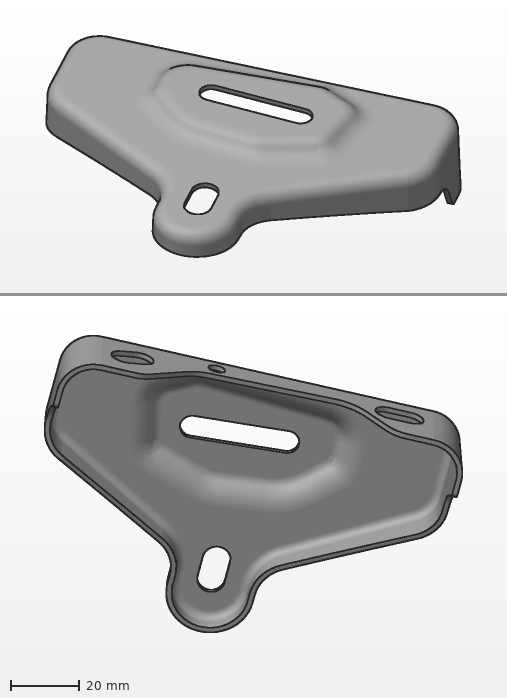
import cadquery as cq
import math


thickness = 1.6
draft = 2.0
edge_round = 4.0
plate_z = 25.0

feet_half_width = 60.8
half_width = feet_half_width - plate_z * math.tan(math.radians(draft))
back_corner_radius = 10.0
bend_radius = 12.0
tongue_radius = 12.5
tongue_end_y = -82.6
side_end_y = -32.8
diagonal_angle = 30.0

boss_height = 4.0
boss_draft = 43.0
boss_top_round = 5.1
boss_root_round = 7.4
boss_corners = [
    (-30.5, -8.3, 10.5),
    (-30.5, -26.9, 7.5),
    (-16.3, -40.0, 21.3),
    (8.6, -42.6, 13.7),
    (29.5, -35.5, 7.2),
    (34.4, -13.1, 8.3),
    (19.1, -5.4, 8.3),
]

boss_slot_centre = (2.7, -23.2)
boss_slot_span = 28.2
boss_slot_width = 7.0
boss_slot_angle = -3.9
tongue_slot_centre = (0, -65.3)
tongue_slot_span = 6.6
tongue_slot_width = 8.1
tongue_slot_angle = 90

leg_foot_y = -15.5
leg_slant = 67.0
foot_round = 2.0
left_leg_top_z = 9.6
left_leg_fillet = 5.4
right_leg_top_z = 12.4
right_leg_fillet = 9.0
right_rim_bend = (-36.5, 12.4)
rim_knee = (-59.8, 16.4)
rim_knee_radius = 304.1
tongue_rim = (-83.2, 17.1)

arch_left_foot_x = -38.4
arch_left_top = (-25.7, 14.6)
arch_right_top = (21.3, 12.0)
arch_right_foot_x = 37.5
arch_top_round = 12.0
arch_foot_round = 8.0
back_wall_reach = 9.7

mount_slot_width = 8.0
left_mount = ((-39.7, 12.9), 6.5, 0)
right_mount = ((40.7, 11.1), 5.0, -20)
pin_hole_centre = (15.3, 17.0)
pin_hole_diameter = 5.0

big = 2 * half_width


def rounded_polygon(corners):
    """Closed wire in XY from sharp corners (x, y, radius), each rounded unless its radius is 0."""
    shortest_line = 1.22e-06
    points = [cq.Vector(x, y) for x, y, radius in corners]
    edges = []
    ends = []
    for i, (x, y, radius) in enumerate(corners):
        if radius == 0:
            ends.append((points[i], points[i]))
            continue
        corner = points[i]
        back = (points[i - 1] - corner).normalized()
        ahead = (points[(i + 1) % len(points)] - corner).normalized()
        half_angle = back.getAngle(ahead) / 2
        reach = radius / math.tan(half_angle)
        bisector = (back + ahead).normalized()
        middle = corner + bisector * (radius / math.sin(half_angle) - radius)
        start = corner + back * reach
        end = corner + ahead * reach
        edges.append(cq.Edge.makeThreePointArc(start, middle, end))
        ends.append((start, end))
    for i, (start, end) in enumerate(ends):
        previous_end = ends[i - 1][1]
        if (start - previous_end).Length > shortest_line:
            edges.append(cq.Edge.makeLine(previous_end, start))
    return cq.Wire.assembleEdges(edges)


def drafted(wire, z, height, angle):
    """Prism from a wire in XY placed at z; a positive angle narrows it away from there."""
    placed = wire.translate(cq.Vector(0, 0, z))
    base = cq.Workplane("XY", origin=(0, 0, z)).add(placed).toPending()
    return base.extrude(height, taper=angle)


def plate_outline():
    tongue_root_y = side_end_y - (half_width - tongue_radius) * math.tan(math.radians(diagonal_angle))
    right = [
        (half_width, 0, back_corner_radius),
        (half_width, side_end_y, bend_radius),
        (tongue_radius, tongue_root_y, bend_radius),
        (tongue_radius, tongue_end_y, tongue_radius),
    ]
    left = [(-x, y, radius) for x, y, radius in reversed(right)]
    return rounded_polygon(right + left)


def boss():
    cone = drafted(rounded_polygon(boss_corners), plate_z, boss_height, boss_draft)
    return cone.faces(">Z").edges().fillet(boss_top_round)


def boss_root():
    """Selector for the edges where the boss meets the plate."""
    xs = [x for x, y, radius in boss_corners]
    ys = [y for x, y, radius in boss_corners]
    margin = 0.1
    low = (min(xs) - margin, min(ys) - margin, plate_z - margin)
    high = (max(xs) + margin, max(ys) + margin, plate_z + margin)
    return cq.selectors.BoxSelector(low, high, boundingbox=True)


def shell():
    """Rounded pan with its boss, hollowed from below to a constant thickness."""
    pan = drafted(plate_outline(), plate_z, -plate_z, -draft)
    pan = pan.faces(">Z").edges().fillet(edge_round)
    solid = pan.union(boss()).edges(boss_root()).fillet(boss_root_round)
    return solid.faces("<Z").shell(-thickness)


def top_slot(centre, span, width, angle):
    return (
        cq.Workplane("XY")
        .center(*centre)
        .slot2D(span + width, width, angle)
        .extrude(big)
    )


def rim_cut(side, leg_top_z, leg_fillet, bend):
    """Everything below the skirt's lower edge on one half (side is -1 or 1)."""
    leg_top_y = leg_foot_y - leg_top_z / math.tan(math.radians(leg_slant))
    corners = [
        (0, -big, 0),
        (0, 0, 0),
        (leg_foot_y, 0, foot_round),
        (leg_top_y, leg_top_z, leg_fillet),
        *bend,
        (*rim_knee, rim_knee_radius),
        (*tongue_rim, 0),
        (-big, tongue_rim[1], 0),
        (-big, -big, 0),
    ]
    profile = rounded_polygon(corners).moved(cq.Plane.named("YZ").location)
    return cq.Workplane(cq.Solid.extrudeLinear(profile, [], cq.Vector(side * big, 0, 0)))


def back_wall_cutter(profile):
    """Cutter from an XZ profile that starts behind the back wall and ends just inside it."""
    behind = cq.Workplane("XZ", origin=(0, back_wall_reach, 0))
    wire = profile.moved(behind.plane.location)
    return cq.Workplane(cq.Solid.extrudeLinear(wire, [], cq.Vector(0, -2 * back_wall_reach, 0)))


def arch():
    corners = [
        (-big, -big, 0),
        (-big, 0, 0),
        (arch_left_foot_x, 0, arch_foot_round),
        (*arch_left_top, arch_top_round),
        (*arch_right_top, arch_top_round),
        (arch_right_foot_x, 0, arch_foot_round),
        (big, 0, 0),
        (big, -big, 0),
    ]
    return back_wall_cutter(rounded_polygon(corners))


def mount_slot(centre, span, angle):
    slot = cq.Workplane("XY").center(*centre).slot2D(span + mount_slot_width, mount_slot_width, angle)
    return back_wall_cutter(slot.wires().val())


def pin_hole():
    circle = cq.Wire.makeCircle(pin_hole_diameter / 2, cq.Vector(*pin_hole_centre), cq.Vector(0, 0, 1))
    return back_wall_cutter(circle)


cutters = [
    top_slot(boss_slot_centre, boss_slot_span, boss_slot_width, boss_slot_angle),
    top_slot(tongue_slot_centre, tongue_slot_span, tongue_slot_width, tongue_slot_angle),
    rim_cut(-1, left_leg_top_z, left_leg_fillet, []),
    rim_cut(1, right_leg_top_z, right_leg_fillet, [(*right_rim_bend, 0)]),
    arch(),
    mount_slot(*left_mount),
    mount_slot(*right_mount),
    pin_hole(),
]

result = shell()
for cutter in cutters:
    result = result.cut(cutter)